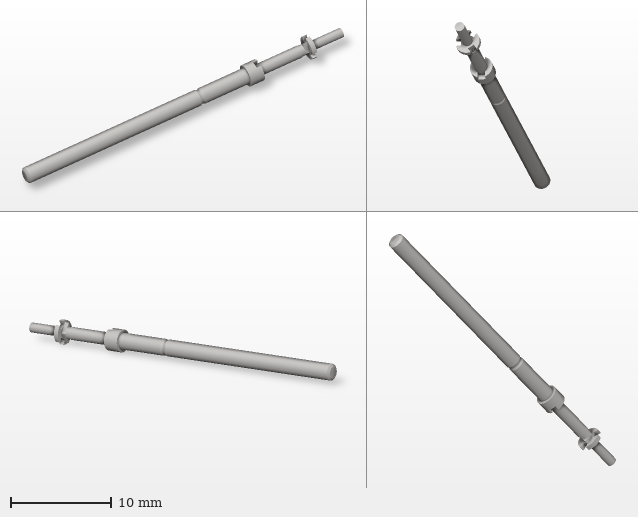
import cadquery as cq
import math

length = 36.5

barrel_radius = 0.85
collar_radius = 1.15
stem_radius = 0.65
neck_radius = 0.6
pin_radius = 0.5
flange_radius = 1.25

collar_front = length - 11.05
collar_back = length - 9.5
stem_back = length - 4.9
rhombus_front = length - 4.45
flange_front = length - 4.0
flange_back = length - 3.5

tip_radius = 0.6
tip_length = 0.2

groove_back = length - 16.1
groove_width = 0.5
groove_depth = 0.1
groove_wall_length = 0.2

collar_slot_width = 0.75
collar_slot_depth = 0.5

notch_count = 3
notch_width = 0.7
notch_floor_radius = 0.69

rhombus_half_height = 1.05
rhombus_half_width = rhombus_half_height * math.tan(math.radians(30))


def cylinder(radius, start, end):
    """Solid cylinder on the Y axis between two stations."""
    return cq.Workplane("XZ", origin=(0, start, 0)).circle(radius).extrude(start - end)


def barrel():
    """Barrel with a conical tip and a groove whose arc runs parallel to the axis at its deepest point."""
    groove_front = groove_back - groove_width
    groove_bottom = groove_back - groove_wall_length
    bottom_radius = barrel_radius - groove_depth
    arc_length = groove_bottom - groove_front
    arc_radius = (arc_length**2 + groove_depth**2) / (2 * groove_depth)
    half_sweep = math.asin(arc_length / arc_radius) / 2
    groove_arc_middle = (
        bottom_radius + arc_radius * (1 - math.cos(half_sweep)),
        groove_bottom - arc_radius * math.sin(half_sweep),
    )
    return (
        cq.Workplane("XY")
        .lineTo(tip_radius, 0)
        .lineTo(barrel_radius, tip_length)
        .lineTo(barrel_radius, groove_front)
        .threePointArc(groove_arc_middle, (bottom_radius, groove_bottom))
        .lineTo(barrel_radius, groove_back)
        .lineTo(barrel_radius, collar_front)
        .lineTo(0, collar_front)
        .close()
        .revolve(360, (0, 0, 0), (0, 1, 0))
    )


def slotted_collar():
    """Collar with a slot along Z across its back face."""
    slot = (
        cq.Workplane("XY")
        .box(collar_slot_width, 2 * collar_slot_depth, 2 * collar_radius)
        .translate((0, collar_back, 0))
    )
    return cylinder(collar_radius, collar_front, collar_back).cut(slot)


def notched_flange():
    """Flange with equally spaced parallel-sided notches in its rim, the first one on +X."""
    flange_thickness = flange_back - flange_front
    flange = cylinder(flange_radius, flange_front, flange_back)
    notch = (
        cq.Workplane("XY", origin=(0, flange_back, 0))
        .box(flange_radius, 2 * flange_thickness, notch_width)
        .translate((notch_floor_radius + flange_radius / 2, 0, 0))
    )
    for index in range(notch_count):
        angle = index * 360 / notch_count
        flange = flange.cut(notch.rotate((0, 0, 0), (0, 1, 0), angle))
    return flange


def rhombus():
    """Rhombic block against the front face of the flange."""
    corners = [
        (rhombus_half_width, 0),
        (0, rhombus_half_height),
        (-rhombus_half_width, 0),
        (0, -rhombus_half_height),
    ]
    return (
        cq.Workplane("XZ", origin=(0, rhombus_front, 0))
        .polyline(corners)
        .close()
        .extrude(rhombus_front - flange_front)
    )


result = (
    barrel()
    .union(slotted_collar())
    .union(cylinder(stem_radius, collar_front, stem_back))
    .union(cylinder(neck_radius, stem_back, rhombus_front))
    .union(rhombus())
    .union(notched_flange())
    .union(cylinder(pin_radius, flange_back, length))
)